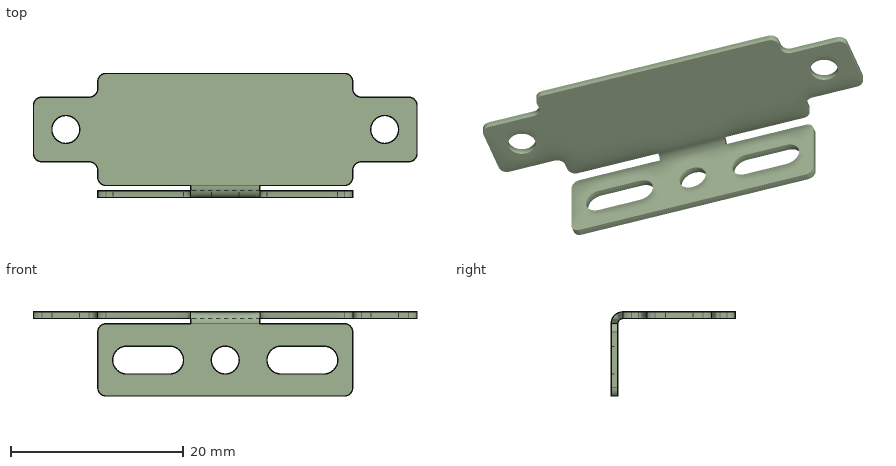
import cadquery as cq

sheet = 0.8
bend_outer_radius = 1.4
bend_inner_radius = bend_outer_radius - sheet
bend_width = 8.0
corner_radius = 1.0

overall_length = 44.5
overall_depth = 14.4
body_length = 29.6
body_depth = overall_depth - bend_outer_radius
tab_depth = 7.5
tab_hole_spacing = 37.0

overall_height = 9.8
flange_height = overall_height - bend_outer_radius
slot_length = 8.2
slot_spacing = 17.9
hole_row_depth = 5.6

hole_diameter = 3.2

body_centre_y = bend_outer_radius + body_depth / 2
flange_centre_z = -bend_outer_radius - flange_height / 2


def make_plate():
    body = cq.Workplane("XY").box(body_length, body_depth, sheet)
    tabs = cq.Workplane("XY").box(overall_length, tab_depth, sheet)
    plate = body.union(tabs).edges("|Z").fillet(corner_radius)
    holes = (
        cq.Workplane("XY")
        .rarray(tab_hole_spacing, 0.45, 2, 1)
        .circle(hole_diameter / 2)
        .extrude(sheet, both=True)
    )
    return plate.cut(holes).translate((0, body_centre_y, -sheet / 2))


def make_flange():
    flange = (
        cq.Workplane("XY")
        .box(body_length, sheet, flange_height)
        .edges("|Y")
        .fillet(corner_radius)
        .translate((0, sheet / 2, flange_centre_z))
    )
    hole_row = cq.Workplane("XZ", origin=(0, 0, -hole_row_depth))
    centre_hole = hole_row.circle(hole_diameter / 2).extrude(sheet, both=True)
    slots = (
        hole_row.rarray(slot_spacing, 0.45, 2, 1)
        .slot2D(slot_length, hole_diameter)
        .extrude(sheet, both=True)
    )
    return flange.cut(centre_hole).cut(slots)


def make_bend():
    """Quarter-round strip joining the front edge of the plate to the top edge of the flange."""
    quarter = cq.Workplane("YZ").rect(bend_outer_radius, bend_outer_radius).extrude(bend_width / 2, both=True)
    quarter = quarter.translate((0, bend_outer_radius / 2, -bend_outer_radius / 2))
    ring = (
        cq.Workplane("YZ")
        .center(bend_outer_radius, -bend_outer_radius)
        .circle(bend_outer_radius)
        .circle(bend_inner_radius)
        .extrude(bend_width / 2, both=True)
    )
    return ring.intersect(quarter)


result = make_plate().union(make_flange()).union(make_bend())